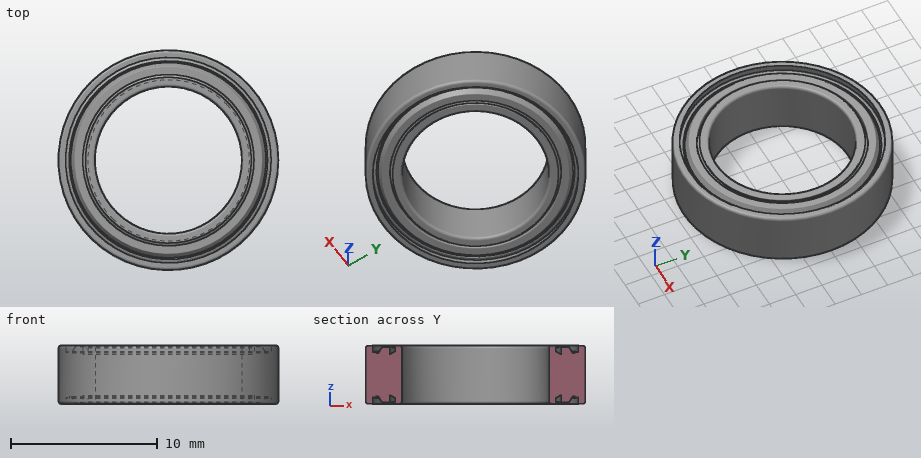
import cadquery as cq
import math

WIDTH = 4.0
BORE_DIAMETER = 10.0
OUTER_DIAMETER = 15.0
RING_FILLET = 0.2
SMALL_FILLET = 0.05

LIP_DIAMETER = 11.3
LIP_THICKNESS = 0.15
GROOVE_DIAMETER = 11.0
SLOPE_START_DEPTH = 0.4
SLOPE_END_DEPTH = 0.6

SHIELD_INNER_DIAMETER = 11.67
SHIELD_DEPTH = 0.11
PLATE_OUTER_DIAMETER = 12.72
SKIRT_OUTER_DIAMETER = 13.3
SKIRT_ANGLE = math.radians(57)

BEAD_INNER_DIAMETER = 13.52
BEAD_DEPTH = 0.41
BEAD_OUTER_DIAMETER = 13.81
BEAD_OUTER_ANGLE = math.radians(40)
HOLLOW_OUTER_ANGLE = math.radians(45)
RECESS_DIAMETER = 14.0

TOP = WIDTH / 2
LIP_RADIUS = LIP_DIAMETER / 2
GROOVE_RADIUS = GROOVE_DIAMETER / 2
SHIELD_INNER_RADIUS = SHIELD_INNER_DIAMETER / 2
PLATE_RADIUS = PLATE_OUTER_DIAMETER / 2
SKIRT_RADIUS = SKIRT_OUTER_DIAMETER / 2
BEAD_INNER_RADIUS = BEAD_INNER_DIAMETER / 2
BEAD_OUTER_RADIUS = BEAD_OUTER_DIAMETER / 2
RECESS_RADIUS = RECESS_DIAMETER / 2
PLATE_HEIGHT = TOP - SHIELD_DEPTH
BEAD_HEIGHT = TOP - BEAD_DEPTH

SKIRT_TOP_RADIUS = PLATE_RADIUS + SMALL_FILLET * math.sin(SKIRT_ANGLE)
SKIRT_TOP_HEIGHT = PLATE_HEIGHT - SMALL_FILLET * (1 - math.cos(SKIRT_ANGLE))
FOOT_HEIGHT = SKIRT_TOP_HEIGHT - (SKIRT_RADIUS - SKIRT_TOP_RADIUS) * math.tan(SKIRT_ANGLE)

CREST_RADIUS = BEAD_INNER_RADIUS + SMALL_FILLET
BEAD_OUTER_DROP = (BEAD_OUTER_RADIUS - CREST_RADIUS) * math.tan(BEAD_OUTER_ANGLE / 2)
BEAD_OUTER_HEIGHT = BEAD_HEIGHT - BEAD_OUTER_DROP
HOLLOW_ROUND = (RECESS_RADIUS - BEAD_OUTER_RADIUS) / (
    math.sin(BEAD_OUTER_ANGLE) + math.sin(HOLLOW_OUTER_ANGLE)
)
HOLLOW_RISE = HOLLOW_ROUND * (math.cos(BEAD_OUTER_ANGLE) - math.cos(HOLLOW_OUTER_ANGLE))


def ring_blank():
    """Plain ring with rounded bore and outer edges."""
    ring = cq.Workplane("XY", origin=(0, 0, -TOP)).circle(OUTER_DIAMETER / 2).circle(BORE_DIAMETER / 2)
    return ring.extrude(WIDTH).edges("%CIRCLE").fillet(RING_FILLET)


def inner_ring_outline(section):
    """Rounded lip, undercut groove and the slope up to the shield edge."""
    return (
        section.lineTo(LIP_RADIUS - SMALL_FILLET, TOP)
        .radiusArc((LIP_RADIUS, TOP - SMALL_FILLET), SMALL_FILLET)
        .lineTo(LIP_RADIUS, TOP - LIP_THICKNESS)
        .lineTo(GROOVE_RADIUS, TOP - LIP_THICKNESS)
        .lineTo(GROOVE_RADIUS, TOP - SLOPE_START_DEPTH)
        .lineTo(SHIELD_INNER_RADIUS, TOP - SLOPE_END_DEPTH)
    )


def shield_outline(section):
    """Shield edge, flat plate, conical skirt and foot."""
    return (
        section.lineTo(SHIELD_INNER_RADIUS, PLATE_HEIGHT - SMALL_FILLET)
        .radiusArc((SHIELD_INNER_RADIUS + SMALL_FILLET, PLATE_HEIGHT), SMALL_FILLET)
        .lineTo(PLATE_RADIUS, PLATE_HEIGHT)
        .radiusArc((SKIRT_TOP_RADIUS, SKIRT_TOP_HEIGHT), SMALL_FILLET)
        .lineTo(SKIRT_RADIUS, FOOT_HEIGHT)
        .lineTo(BEAD_INNER_RADIUS, FOOT_HEIGHT)
    )


def bead_outline(section):
    """Rounded bead and the hollow that meets the outer ring."""
    return (
        section.lineTo(BEAD_INNER_RADIUS, BEAD_HEIGHT - SMALL_FILLET)
        .radiusArc((CREST_RADIUS, BEAD_HEIGHT), SMALL_FILLET)
        .tangentArcPoint((BEAD_OUTER_RADIUS, BEAD_OUTER_HEIGHT), relative=False)
        .radiusArc((RECESS_RADIUS, BEAD_OUTER_HEIGHT + HOLLOW_RISE), -HOLLOW_ROUND)
    )


def end_recess():
    """Everything removed from the upper end, between the lip and the outer ring."""
    section = cq.Workplane("XZ").moveTo(RECESS_RADIUS, TOP)
    section = inner_ring_outline(section)
    section = shield_outline(section)
    section = bead_outline(section)
    return section.close().revolve(360, (0, 0, 0), (0, 1, 0))


upper_recess = end_recess()
lower_recess = upper_recess.mirror("XY")
result = ring_blank().cut(upper_recess).cut(lower_recess)